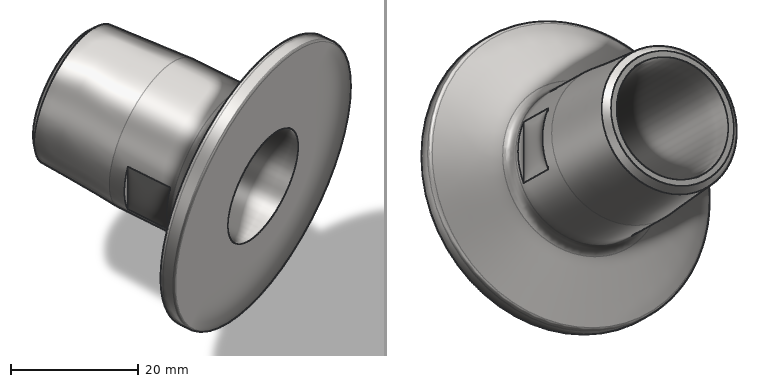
import cadquery as cq

total_length = 36.0
tip_chamfer_length = 1.0
taper_end = 15.65
cone_start = 28.7
cone_rim_start = 33.3

flange_radius = 25.25
hub_radius = 13.05
taper_small_radius = 12.1
tip_radius = 11.0
bore_radius = 10.0

neck_fillet = 2.0
flange_front_fillet = 0.7
flange_back_fillet = 0.3

flat_start = 18.55
flat_length = 8.0
flat_distance = 12.0


def revolved_body():
    """Tapered spigot, hub, conical flare and rim, turned about X."""
    return (
        cq.Workplane("XY")
        .moveTo(0, 0)
        .lineTo(0, tip_radius)
        .lineTo(tip_chamfer_length, taper_small_radius)
        .lineTo(taper_end, hub_radius)
        .lineTo(cone_start, hub_radius)
        .lineTo(cone_rim_start, flange_radius)
        .lineTo(total_length, flange_radius)
        .lineTo(total_length, 0)
        .close()
        .revolve(360, (0, 0, 0), (1, 0, 0))
    )


def fillet_ring(body, station, fillet_radius):
    """Round the circular edge lying in the plane X = station."""
    tolerance = 0.005
    reach = 2 * flange_radius
    plane_slab = cq.selectors.BoxSelector(
        (station - tolerance, -reach, -reach),
        (station + tolerance, reach, reach),
    )
    return body.edges("%CIRCLE").edges(plane_slab).fillet(fillet_radius)


def flat_cutter(side):
    """Block removing material beyond one wrench flat; side is -1 or 1."""
    depth = flange_radius - flat_distance
    return (
        cq.Workplane("XY")
        .box(flat_length, depth, 2 * hub_radius)
        .translate((flat_start + flat_length / 2, side * (flat_distance + depth / 2), 0))
    )


result = revolved_body()
result = fillet_ring(result, cone_start, neck_fillet)
result = fillet_ring(result, cone_rim_start, flange_front_fillet)
result = fillet_ring(result, total_length, flange_back_fillet)

for side in (-1, 1):
    result = result.cut(flat_cutter(side))

bore = cq.Workplane("YZ").circle(bore_radius).extrude(total_length)
result = result.cut(bore)